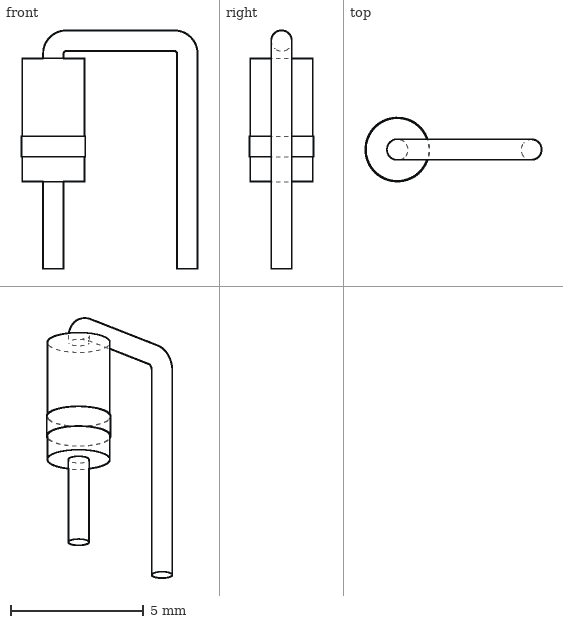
import cadquery as cq

lead_diameter = 0.79
lead_pitch = 5.075
overall_height = 9.03
bend_radius = 0.5

body_diameter = 2.375
body_bottom = 3.3
body_top = 7.96

band_diameter = 2.43
band_bottom = 4.235
band_top = 5.02


def cylinder(diameter, bottom, top):
    """Vertical cylinder about the Z axis between two heights."""
    return cq.Workplane("XY").workplane(offset=bottom).circle(diameter / 2).extrude(top - bottom)


def bent_lead():
    """Round wire going up through the body, across and back down."""
    bridge_height = overall_height - lead_diameter / 2
    bend_start = bridge_height - bend_radius
    path = (
        cq.Workplane("XZ")
        .lineTo(0, bend_start)
        .tangentArcPoint((bend_radius, bend_radius))
        .lineTo(lead_pitch - bend_radius, bridge_height)
        .tangentArcPoint((bend_radius, -bend_radius))
        .lineTo(lead_pitch, 0)
    )
    return cq.Workplane("XY").circle(lead_diameter / 2).sweep(path)


body = cylinder(body_diameter, body_bottom, body_top)
band = cylinder(band_diameter, band_bottom, band_top)

result = bent_lead().union(body).union(band)